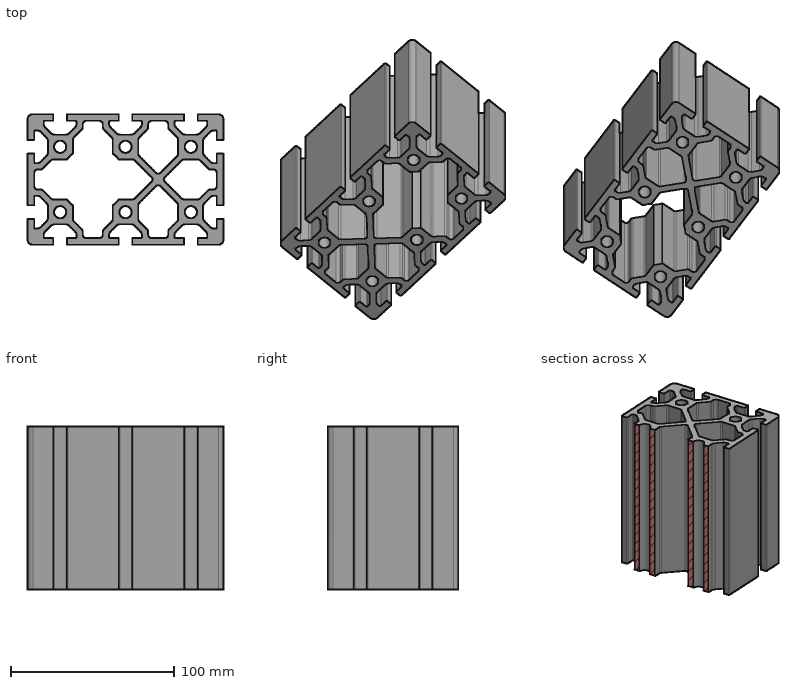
import cadquery as cq

LENGTH_X = 120.0
COLUMNS = 3
ROWS = 2
PITCH = LENGTH_X / COLUMNS
WIDTH_Y = ROWS * PITCH
HEIGHT = 100.0
CORNER_RADIUS = 3.2

SKIN = 4.2
WEB = 4.0
WEB_OFFSET = WEB / 2**0.5

BORE_DIAMETER = 7.3
BORE_DEPTH = PITCH / 2
BORE_X = [(column - (COLUMNS - 1) / 2) * PITCH for column in range(COLUMNS)]
BORE_Y = [(row - (ROWS - 1) / 2) * PITCH for row in range(ROWS)]

SLOT_OPENING = 8.2
SLOT_HALF = 10.0
SLOT_DEPTH = 12.5
SLOT_BEND_RADIUS = 3.0
LIP_RADIUS = 0.5

LEFT_CENTRE_X = -PITCH / 2
RIGHT_CENTRE_X = PITCH / 2
CHAMBER_HALF = 12.1
RECESS_HALF = PITCH / 2 - SLOT_HALF - WEB
RECESS_RADIUS = 2.0
CHAMBER_BEND_RADIUS = 1.8
CENTRE_BORE_RADIUS = PITCH / 2

RECESS_CORNER = (RECESS_HALF, PITCH - SKIN)
ARM_BENDS = [
    (RECESS_HALF, PITCH - RECESS_HALF - WEB_OFFSET),
    (CHAMBER_HALF, PITCH - CHAMBER_HALF - WEB_OFFSET),
]


def prism(points):
    return cq.Workplane("XY").polyline(points).close().extrude(HEIGHT)


def round_edges(body, points, radius):
    """Round the upright edges of a body that stand at the given points."""
    reach = 0.01
    for x, y in points:
        spot = cq.selectors.BoxSelector(
            (x - reach, y - reach, reach),
            (x + reach, y + reach, HEIGHT - reach),
        )
        body = body.edges(spot).fillet(radius)
    return body


def mirror_x(points):
    return [(-x, y) for x, y in points]


def mirror_y(points):
    return [(x, -y) for x, y in points]


def quarter_turn(points):
    return [(-y, x) for x, y in points]


def turned(body, angle):
    return body.rotate((0, 0, 0), (0, 0, 1), angle)


def t_slot():
    """T-slot opening towards +Y, with the outer face at y = 0."""
    lip = [(SLOT_OPENING / 2, 0), (SLOT_OPENING / 2, -SKIN)]
    shoulder = [(SLOT_HALF, -SKIN)]
    bends = [
        (SLOT_HALF, SLOT_HALF + WEB_OFFSET - BORE_DEPTH),
        (BORE_DEPTH - SLOT_DEPTH - WEB_OFFSET, -SLOT_DEPTH),
    ]
    right_side = lip + shoulder + bends
    slot = prism(right_side + mirror_x(right_side)[::-1])
    slot = round_edges(slot, shoulder + mirror_x(shoulder), LIP_RADIUS)
    return round_edges(slot, bends + mirror_x(bends), SLOT_BEND_RADIUS)


def cut_slots(body):
    """Cut a T-slot in front of every bore on all four sides."""
    slot = t_slot()
    for x in BORE_X:
        body = body.cut(slot.translate((x, WIDTH_Y / 2, 0)))
        body = body.cut(turned(slot, 180).translate((x, -WIDTH_Y / 2, 0)))
    for y in BORE_Y:
        body = body.cut(turned(slot, 90).translate((-LENGTH_X / 2, y, 0)))
        body = body.cut(turned(slot, -90).translate((LENGTH_X / 2, y, 0)))
    return body


def round_lips(body):
    """Round the outer and inner edges of the lips of every slot."""
    lips = []
    for edge in (-SLOT_OPENING / 2, SLOT_OPENING / 2):
        for depth in (0, SKIN):
            on_top = [(x + edge, WIDTH_Y / 2 - depth) for x in BORE_X]
            on_right = [(LENGTH_X / 2 - depth, y + edge) for y in BORE_Y]
            lips += on_top + mirror_y(on_top) + on_right + mirror_x(on_right)
    return round_edges(body, lips, LIP_RADIUS)


def arm_chamber():
    """Closed chamber with one arm towards +Y and its tip beside the crossing of the webs."""
    tip = (0, WEB_OFFSET)
    side_bends = ARM_BENDS + [(CHAMBER_HALF, CHAMBER_HALF + WEB_OFFSET)]
    right_side = [RECESS_CORNER] + side_bends
    chamber = prism(right_side + [tip] + mirror_x(right_side)[::-1])

    chamber = round_edges(chamber, [RECESS_CORNER] + mirror_x([RECESS_CORNER]), RECESS_RADIUS)
    bends = side_bends + mirror_x(side_bends) + [tip]
    return round_edges(chamber, bends, CHAMBER_BEND_RADIUS)


def open_chamber():
    """Chamber with arms towards +Y, -Y and -X, and its tip at +X beside the crossing of the webs."""
    hub_corner = (CHAMBER_HALF, CHAMBER_HALF)
    tip = (PITCH - WEB_OFFSET, 0)
    tip_shoulder = (PITCH - WEB_OFFSET - CHAMBER_HALF, CHAMBER_HALF)

    arm_side = [RECESS_CORNER] + ARM_BENDS
    top_right = [tip_shoulder, hub_corner] + arm_side[::-1]
    top_left = mirror_x(arm_side + [hub_corner])
    left_arm = quarter_turn(arm_side)[::-1]
    upper_half = top_right + top_left + left_arm
    chamber = prism([tip] + upper_half + mirror_y(upper_half)[::-1])

    recess = [RECESS_CORNER] + mirror_x([RECESS_CORNER]) + quarter_turn([RECESS_CORNER])
    chamber = round_edges(chamber, recess + mirror_y(recess), RECESS_RADIUS)
    bends = ARM_BENDS + mirror_x(ARM_BENDS) + quarter_turn(ARM_BENDS) + [tip_shoulder]
    chamber = round_edges(chamber, bends + mirror_y(bends) + [tip], CHAMBER_BEND_RADIUS)
    return chamber.union(cq.Workplane("XY").circle(CENTRE_BORE_RADIUS).extrude(HEIGHT))


def cut_chambers(body):
    """Hollow the left side with the open chamber and the right side with three closed ones."""
    body = body.cut(open_chamber().translate((LEFT_CENTRE_X, 0, 0)))
    closed = arm_chamber()
    for angle in (0, 180, -90):
        body = body.cut(turned(closed, angle).translate((RIGHT_CENTRE_X, 0, 0)))
    return body


def screw_bores():
    centres = [(x, y) for x in BORE_X for y in BORE_Y]
    return cq.Workplane("XY").pushPoints(centres).circle(BORE_DIAMETER / 2).extrude(HEIGHT)


block = cq.Workplane("XY").box(LENGTH_X, WIDTH_Y, HEIGHT, centered=(True, True, False))
block = block.edges("|Z").fillet(CORNER_RADIUS)
slotted = round_lips(cut_slots(block))
result = cut_chambers(slotted).cut(screw_bores())